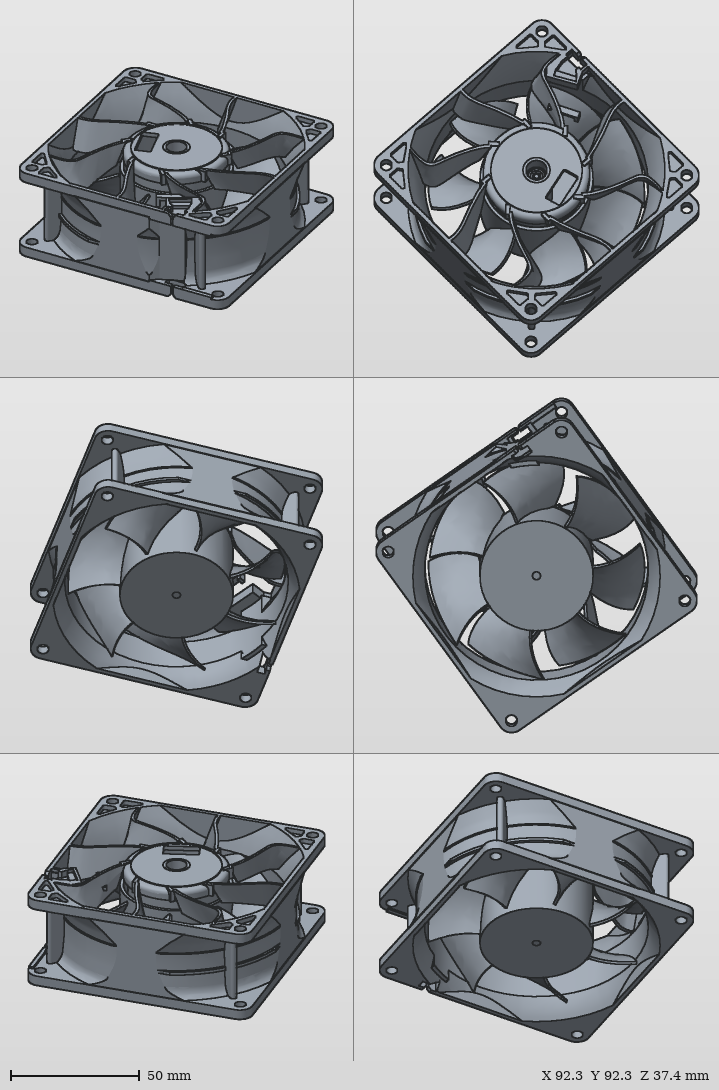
import cadquery as cq
import math

SIDE = 92.3
HEIGHT = 37.4
HALF = SIDE / 2
TOP = HEIGHT / 2
BOTTOM = -TOP
WEB_SIDE = 91.75
FLANGE = 4.15
CORNER_R = 5.3
FLANGE_TOP_Z = TOP - FLANGE
FLANGE_BOTTOM_Z = BOTTOM + FLANGE

THROAT_R = 43.4
DUCT_HALF = 44.3
MOUTH_R = 49.8
OUTLET_R = 48.0
THROAT_TOP_Z = 4.6
THROAT_BOTTOM_Z = -10.0
SHELL_TOP_R = 46.6
SHELL_BOTTOM_R = 47.35
SHELL_OUTLET_MID = (48.1, -12.5)
SHELL_THROAT_MID = (46.7, -2.8)
SHELL_MOUTH_MID = (47.9, 9.8)
DUCT_OUTLET_MID = (44.95, -14.0)
DUCT_MOUTH_MID = (46.15, 11.9)
SHELL_FLANGE_R = 49.9
BAND_R = 47.9
BAND_Z = -3.7
BAND_HEIGHT = 1.3
STEP_HEIGHT = 0.4
STEP_PROJECTION = 0.4

CORNERS = 4
HOLE_OFFSET = 41.3
HOLE_D = 4.4
FIN_C = 36.7
FIN_R = 1.3
FIN_ROOT = 30.5
CABLE_FIN_SHIFT = 3.2
POCKET_DEPTH = 2.0
POCKET_FILLET = 0.7
POCKET_OUTLINE = [(29.4, 43.6), (37.3, 43.6), (37.3, 38.95), (35.6, 37.7), (29.4, 42.4)]

CAP_FLAT_R = 18.6
CAP_DISC_R = 17.7
CAP_STEP = 0.4
CAP_R = 20.8
CAP_SHOULDER_Z = TOP - 2.4
CAP_SHOULDER_MID = (20.0, TOP - 0.8)
SKIRT_Z = 14.0
NECK_R = 18.9
NECK_BOTTOM_Z = 6.5
HUB_INSIDE_R = 17.4
PLATE = 1.75
POST_R = 6.2
POST_BOTTOM_Z = -7.4
WINDOW_CENTER = (-12.0, -2.3)
WINDOW_SIZE = (6.55, 14.1)
WINDOW_TILT = 16.0

STRUT_PAIRS = 4
STRUT_WALL = 1.3
STRUT_LOW_Z = 6.5
STRUT_ROOT_R = 23.1
STRUT_ROOT_Z = 10.15
STRUT_OUTER_R = 38.8
TAB_WIDTH = 1.7
TAB_LENGTH = 4.15
TAB_CENTER = (10.5, 16.9)
SIDE_UPPER = [(9.8, 17.7), (7.6, 25.3), (4.7, 32.2), (2.0, 38.6), (1.8, 45.7)]
SIDE_LOWER = [(6.7, 23.35), (3.3, 27.2), (0.7, 31.8), (-2.3, 38.6), (-2.3, 45.7)]
CORNER_UPPER = [(19.4, 5.9), (23.6, 12.6), (27.4, 22.8), (30.3, 28.8), (34.15, 29.9), (42.5, 29.35)]
CORNER_LOWER = [(21.8, 12.4), (22.7, 17.1), (24.1, 24.3), (27.0, 31.0), (31.8, 32.2), (42.5, 30.3)]

PAD_OUTLINE = [(26.4, -29.5), (15.4, -36.0), (18.2, -41.3), (18.2, -45.2), (29.35, -45.2), (29.35, -32.8)]
PAD_HEIGHT = 5.1
PAD_POCKET = [(24.55, -31.9), (26.0, -34.5), (20.5, -38.3), (18.4, -38.3), (16.9, -36.55)]
PAD_POCKET_DEPTH = 1.4
PAD_DEEP_POCKET = [(25.8, -34.5), (26.9, -38.5), (26.8, -42.0), (20.5, -42.0), (20.5, -40.0), (18.5, -38.5)]
PAD_DEEP_DEPTH = 2.8
CABLE_X = 23.5
CABLE_HOLE = (7.6, 3.0)
CABLE_HOLE_Y = -43.0
CABLE_LEDGE = (8.5, 3.0)
CABLE_LEDGE_DEPTH = 1.4
SLIT_WIDTH = 1.0
SLIT_FLARE_WIDTH = 3.3
SLIT_FLARE_HEIGHT = 1.4
CHANNEL_X = 13.3
CHANNEL_Y = -44.3
CHANNEL_HALF_HEIGHT = 13.75
CHANNEL_WALL = [(CHANNEL_X, -45.9), (16.6, -43.7), (26.0, -39.9)]
CHANNEL_WALL_BACK = [(26.0, -34.15), (16.6, -39.7)]
HOOK_START = (18.3, -23.4)
HOOK_END = (7.2, -29.2)
HOOK_WIDTH = 2.6
HOOK_THICKNESS = 1.5
HOOK_TOP_Z = 13.75
HOOK_LIP = 1.5
HOOK_LIP_HEIGHT = 4.15

TUBE_OUT_R = 5.3
TUBE_IN_R = 4.1
RACE_IN_R = 3.4
SHIELD_R = 2.5
SHIELD_RECESS = 0.3
BEARING_TOP_Z = 12.0
BEARING_HEIGHT = 4.6
SHAFT_R = 1.6
SHAFT_CHAMFER = 0.6
SHAFT_PROJECTION = 0.5

CUP_R = 22.0
CUP_WALL = 1.4
CUP_TOP_Z = 10.15
CUP_BOTTOM_Z = -17.5
CUP_FLOOR = 2.8
BOSS_R = 3.7
BOSS_TOP_Z = -9.2
BLADES = 7
BLADE_TIP_R = 42.0
BLADE_FIRST_ANGLE = 42.0
BLADE_BOTTOM_Z = -14.8
BLADE_WALL = 1.1
BLADE_CAMBER = 1.8
BLADE_STATIONS = [(20.8, -5.3, 9.0, 8.8), (33.2, -11.1, 14.1, 6.5), (43.4, -24.0, 12.4, 4.6)]


def cylinder(radius, z_low, z_high):
    return cq.Workplane("XY").workplane(offset=z_low).circle(radius).extrude(z_high - z_low)


def prism(points, z_low, z_high):
    return cq.Workplane("XY").workplane(offset=z_low).polyline(points).close().extrude(z_high - z_low)


def block(width, depth, x, y, z_low, z_high):
    plane = cq.Workplane("XY").workplane(offset=z_low).center(x, y)
    return plane.rect(width, depth).extrude(z_high - z_low)


def turned(solid, angle):
    return solid.rotate((0, 0, 0), (0, 0, 1), angle)


def shell_envelope():
    """Solid outside of the flared shell, trimmed to the square of the side walls."""
    outside = (
        cq.Workplane("XZ")
        .moveTo(0, BOTTOM)
        .lineTo(SHELL_FLANGE_R, BOTTOM)
        .lineTo(SHELL_FLANGE_R, FLANGE_BOTTOM_Z)
        .threePointArc(SHELL_OUTLET_MID, (SHELL_BOTTOM_R, THROAT_BOTTOM_Z))
        .threePointArc(SHELL_THROAT_MID, (SHELL_TOP_R, THROAT_TOP_Z))
        .threePointArc(SHELL_MOUTH_MID, (SHELL_FLANGE_R, FLANGE_TOP_Z))
        .lineTo(SHELL_FLANGE_R, TOP)
        .lineTo(0, TOP)
        .close()
        .revolve(360, (0, 0, 0), (0, 1, 0))
    )
    return outside.intersect(cq.Workplane("XY").box(WEB_SIDE, WEB_SIDE, HEIGHT))


def shell_bands():
    """Narrow rings round the outside of the shell, except in the quarter with the cable channel."""
    band = cylinder(BAND_R, BAND_Z - BAND_HEIGHT / 2, BAND_Z + BAND_HEIGHT / 2)
    step = cylinder(SHELL_TOP_R + STEP_PROJECTION, THROAT_TOP_Z - STEP_HEIGHT, THROAT_TOP_Z)
    band = band.cut(block(HALF, HALF, HALF / 2, -HALF / 2, BOTTOM, TOP))
    return band.union(step).intersect(cq.Workplane("XY").box(WEB_SIDE, WEB_SIDE, HEIGHT))


def duct():
    """Air passage: straight throat with a flared mouth and outlet."""
    passage = (
        cq.Workplane("XZ")
        .moveTo(0, BOTTOM)
        .lineTo(OUTLET_R, BOTTOM)
        .threePointArc(DUCT_OUTLET_MID, (THROAT_R, THROAT_BOTTOM_Z))
        .lineTo(THROAT_R, THROAT_TOP_Z)
        .threePointArc(DUCT_MOUTH_MID, (MOUTH_R, TOP))
        .lineTo(0, TOP)
        .close()
        .revolve(360, (0, 0, 0), (0, 1, 0))
    )
    return passage.intersect(cq.Workplane("XY").box(2 * DUCT_HALF, 2 * DUCT_HALF, HEIGHT))


def flange(z_low):
    return (
        cq.Workplane("XY")
        .box(SIDE, SIDE, FLANGE, centered=(True, True, False))
        .edges("|Z")
        .fillet(CORNER_R)
        .translate((0, 0, z_low))
    )


def corner_fin(shift):
    """Diagonal fin with a rounded edge in the +X -Y corner, moved sideways by shift."""
    reach = (FIN_C - FIN_ROOT) * math.sqrt(2)
    fin = block(reach, 2 * FIN_R, -reach / 2, 0, FLANGE_BOTTOM_Z, FLANGE_TOP_Z)
    fin = fin.union(cylinder(FIN_R, FLANGE_BOTTOM_Z, FLANGE_TOP_Z))
    return turned(fin, -45).translate((FIN_C - shift, -FIN_C - shift, 0))


def corner_pockets():
    """Two mirrored shallow pockets in the top face beside the +X +Y mounting hole."""
    pocket = prism(POCKET_OUTLINE, TOP - POCKET_DEPTH, TOP).edges("|Z").fillet(POCKET_FILLET)
    return pocket.union(pocket.mirror("YZ").rotate((0, 0, 0), (0, 0, 1), -90))


def hub_cap():
    """Hollow cap with a rounded shoulder, a neck inside the impeller and a bearing post."""
    return (
        cq.Workplane("XZ")
        .moveTo(TUBE_OUT_R, POST_BOTTOM_Z)
        .lineTo(TUBE_OUT_R, TOP)
        .lineTo(CAP_DISC_R, TOP)
        .lineTo(CAP_DISC_R, TOP - CAP_STEP)
        .lineTo(CAP_FLAT_R, TOP - CAP_STEP)
        .threePointArc(CAP_SHOULDER_MID, (CAP_R, CAP_SHOULDER_Z))
        .lineTo(CAP_R, SKIRT_Z)
        .lineTo(NECK_R, SKIRT_Z)
        .lineTo(NECK_R, NECK_BOTTOM_Z)
        .lineTo(HUB_INSIDE_R, NECK_BOTTOM_Z)
        .lineTo(HUB_INSIDE_R, TOP - PLATE)
        .lineTo(POST_R, TOP - PLATE)
        .lineTo(POST_R, POST_BOTTOM_Z)
        .close()
        .revolve(360, (0, 0, 0), (0, 1, 0))
    )


def hub_window():
    opening = block(*WINDOW_SIZE, 0, 0, TOP - PLATE, TOP).edges("|Z").fillet(POCKET_FILLET)
    return turned(opening, WINDOW_TILT).translate((*WINDOW_CENTER, 0))


def ribbon(path, shift, z):
    """Closed strip between a curve and its copy moved by shift."""
    left = [cq.Vector(x - shift[0] / 2, y - shift[1] / 2, z) for x, y in path]
    right = [cq.Vector(x + shift[0] / 2, y + shift[1] / 2, z) for x, y in path]
    edges = [
        cq.Edge.makeSpline(left),
        cq.Edge.makeLine(left[-1], right[-1]),
        cq.Edge.makeSpline(list(reversed(right))),
        cq.Edge.makeLine(right[0], left[0]),
    ]
    return cq.Wire.assembleEdges(edges)


def strut(upper, lower, shift):
    """Leaning guide vane between its upper and lower edge."""
    wires = [ribbon(lower, shift, STRUT_LOW_Z), ribbon(upper, shift, TOP)]
    return cq.Workplane(cq.Solid.makeLoft(wires, True))


def strut_clearance():
    """Cone-topped space below the struts that keeps them clear of the blades."""
    return (
        cq.Workplane("XZ")
        .moveTo(0, STRUT_LOW_Z)
        .lineTo(STRUT_OUTER_R, STRUT_LOW_Z)
        .lineTo(STRUT_ROOT_R, STRUT_ROOT_Z)
        .lineTo(0, STRUT_ROOT_Z)
        .close()
        .revolve(360, (0, 0, 0), (0, 1, 0))
    )


def strut_set():
    diagonal = STRUT_WALL / math.sqrt(2)
    side = strut(SIDE_UPPER, SIDE_LOWER, (STRUT_WALL, 0))
    corner = strut(CORNER_UPPER, CORNER_LOWER, (diagonal, -diagonal))
    return side, corner


def cable_pad():
    return prism(PAD_OUTLINE, TOP - PAD_HEIGHT, TOP)


def cable_pad_pockets():
    shallow = prism(PAD_POCKET, TOP - PAD_POCKET_DEPTH, TOP)
    return shallow.union(prism(PAD_DEEP_POCKET, TOP - PAD_DEEP_DEPTH, TOP))


def cable_hook():
    """Bar from the strut with a lip hanging from its free end."""
    dx = HOOK_START[0] - HOOK_END[0]
    dy = HOOK_START[1] - HOOK_END[1]
    length = math.hypot(dx, dy)
    bar = block(length, HOOK_WIDTH, length / 2, 0, HOOK_TOP_Z - HOOK_THICKNESS, HOOK_TOP_Z)
    lip = block(HOOK_LIP, HOOK_WIDTH, HOOK_LIP / 2, 0, HOOK_TOP_Z - HOOK_LIP_HEIGHT, HOOK_TOP_Z)
    hook = turned(bar.union(lip), math.degrees(math.atan2(dy, dx)))
    return hook.translate((*HOOK_END, 0))


def cable_channel():
    """Space behind the -Y face for the cable, between the flanges."""
    wall_end_x = CHANNEL_WALL[-1][0]
    front = [(wall_end_x, CHANNEL_Y), (HALF, CHANNEL_Y), (HALF, -HALF), (CHANNEL_X, -HALF)]
    return prism(CHANNEL_WALL + front, -CHANNEL_HALF_HEIGHT, CHANNEL_HALF_HEIGHT)


def channel_lips():
    """Low lips along the channel on the inner face of each flange."""
    depth = HALF + CHANNEL_Y
    width = HALF - CORNER_R - CHANNEL_X
    x = CHANNEL_X + width / 2
    y = -HALF + depth / 2
    lower = block(width, depth, x, y, FLANGE_BOTTOM_Z, -CHANNEL_HALF_HEIGHT)
    upper = block(width, depth, x, y, CHANNEL_HALF_HEIGHT, FLANGE_TOP_Z)
    return lower.union(upper)


def cable_panel():
    """Wall that closes the channel towards the duct."""
    panel = prism(CHANNEL_WALL[1:] + CHANNEL_WALL_BACK, FLANGE_BOTTOM_Z, FLANGE_TOP_Z)
    return panel.cut(cylinder(THROAT_R, BOTTOM, TOP))


def cable_slots():
    """Cable hole through both flanges and the flared slit that opens it to the -Y face."""
    lower_hole = block(*CABLE_HOLE, CABLE_X, CABLE_HOLE_Y, BOTTOM, -CHANNEL_HALF_HEIGHT)
    upper_hole = block(*CABLE_HOLE, CABLE_X, CABLE_HOLE_Y, TOP - PAD_HEIGHT, TOP)
    ledge = block(*CABLE_LEDGE, CABLE_X, CABLE_HOLE_Y, TOP - CABLE_LEDGE_DEPTH, TOP)
    slit_depth = HALF + CABLE_HOLE_Y
    half = SLIT_WIDTH / 2
    flare = SLIT_FLARE_WIDTH / 2
    flare_z = TOP - SLIT_FLARE_HEIGHT
    slit = (
        cq.Workplane("XZ", origin=(CABLE_X, CABLE_HOLE_Y, 0))
        .polyline([
            (-flare, BOTTOM), (flare, BOTTOM), (half, -flare_z), (half, flare_z),
            (flare, TOP), (-flare, TOP), (-half, flare_z), (-half, -flare_z),
        ])
        .close()
        .extrude(slit_depth)
    )
    return lower_hole.union(upper_hole).union(ledge).union(slit)


def make_frame():
    envelope = shell_envelope()
    frame = envelope.union(shell_bands())
    frame = frame.cut(cable_channel())
    frame = frame.union(flange(BOTTOM)).union(flange(FLANGE_TOP_Z)).union(channel_lips())
    for corner in range(CORNERS):
        shift = CABLE_FIN_SHIFT if corner == 0 else 0
        frame = frame.union(turned(corner_fin(shift), 360 / CORNERS * corner))
    frame = frame.cut(duct()).union(cable_panel())
    inside = envelope.cut(cylinder(CAP_FLAT_R, BOTTOM, TOP)).cut(strut_clearance())
    side, corner = (vane.intersect(inside) for vane in strut_set())
    for pair in range(STRUT_PAIRS):
        angle = 360 / STRUT_PAIRS * pair
        frame = frame.union(turned(side, angle)).union(turned(corner, angle))
    tab = block(TAB_WIDTH, TAB_LENGTH, *TAB_CENTER, SKIRT_Z, TOP)
    for index in range(2 * STRUT_PAIRS):
        frame = frame.union(turned(tab, 180 / STRUT_PAIRS * index))
    frame = frame.union(hub_cap()).cut(hub_window())
    frame = frame.union(cable_pad()).cut(cable_pad_pockets()).union(cable_hook())
    for index in range(CORNERS):
        frame = frame.cut(turned(corner_pockets(), 360 / CORNERS * index))
    frame = frame.cut(cable_slots())
    for x in (-HOLE_OFFSET, HOLE_OFFSET):
        for y in (-HOLE_OFFSET, HOLE_OFFSET):
            frame = frame.cut(cylinder(HOLE_D / 2, BOTTOM, TOP).translate((x, y, 0)))
    return frame


def blade_section(station):
    """Cambered blade section in a plane square to the blade's middle line."""
    distance, low_edge, high_edge, top_z = station
    slope = math.atan2(top_z - BLADE_BOTTOM_Z, high_edge - low_edge)
    side = BLADE_WALL * math.sin(slope) / 2
    rise = BLADE_WALL * math.cos(slope) / 2
    middle = ((low_edge + high_edge) / 2, (top_z + BLADE_BOTTOM_Z) / 2)
    bow = (-BLADE_CAMBER * math.sin(slope), BLADE_CAMBER * math.cos(slope))
    camber = [
        (low_edge, BLADE_BOTTOM_Z),
        (middle[0] + bow[0], middle[1] + bow[1]),
        (high_edge, top_z),
    ]
    upper = [cq.Vector(distance, y - side, z + rise) for y, z in camber]
    lower = [cq.Vector(distance, y + side, z - rise) for y, z in camber]
    return cq.Wire.assembleEdges([
        cq.Edge.makeThreePointArc(*upper),
        cq.Edge.makeLine(upper[-1], lower[-1]),
        cq.Edge.makeThreePointArc(*reversed(lower)),
        cq.Edge.makeLine(lower[0], upper[0]),
    ])


def make_impeller():
    cavity = cylinder(CUP_R - CUP_WALL, CUP_BOTTOM_Z + CUP_FLOOR, CUP_TOP_Z)
    blade = cq.Workplane(cq.Solid.makeLoft([blade_section(s) for s in BLADE_STATIONS]))
    blade = blade.intersect(cylinder(BLADE_TIP_R, BOTTOM, TOP))
    impeller = cylinder(CUP_R, CUP_BOTTOM_Z, CUP_TOP_Z)
    for index in range(BLADES):
        impeller = impeller.union(turned(blade, BLADE_FIRST_ANGLE + 360 / BLADES * index))
    impeller = impeller.cut(cavity).union(cylinder(BOSS_R, CUP_BOTTOM_Z, BOSS_TOP_Z))
    return impeller.cut(cylinder(SHAFT_R, CUP_BOTTOM_Z, BOSS_TOP_Z))


def make_bearing_tube():
    return cylinder(TUBE_OUT_R, POST_BOTTOM_Z, TOP).cut(cylinder(TUBE_IN_R, POST_BOTTOM_Z, TOP))


def make_outer_race():
    """Outer bearing ring with its shield, which lies a little below the rim."""
    low = BEARING_TOP_Z - BEARING_HEIGHT
    race = cylinder(TUBE_IN_R, low, BEARING_TOP_Z).cut(cylinder(SHIELD_R, low, BEARING_TOP_Z))
    return race.cut(cylinder(RACE_IN_R, BEARING_TOP_Z - SHIELD_RECESS, BEARING_TOP_Z))


def make_inner_race():
    low = BEARING_TOP_Z - BEARING_HEIGHT
    return cylinder(SHIELD_R, low, BEARING_TOP_Z).cut(cylinder(SHAFT_R, low, BEARING_TOP_Z))


def make_shaft():
    shaft = cylinder(SHAFT_R, CUP_BOTTOM_Z, BEARING_TOP_Z + SHAFT_PROJECTION)
    return shaft.faces(">Z").chamfer(SHAFT_CHAMFER)


frame = make_frame()
impeller = make_impeller()
bearing_tube = make_bearing_tube()
outer_race = make_outer_race()
inner_race = make_inner_race()
shaft = make_shaft()

result = cq.Compound.makeCompound([
    frame.val(), impeller.val(), bearing_tube.val(), outer_race.val(), inner_race.val(), shaft.val(),
])